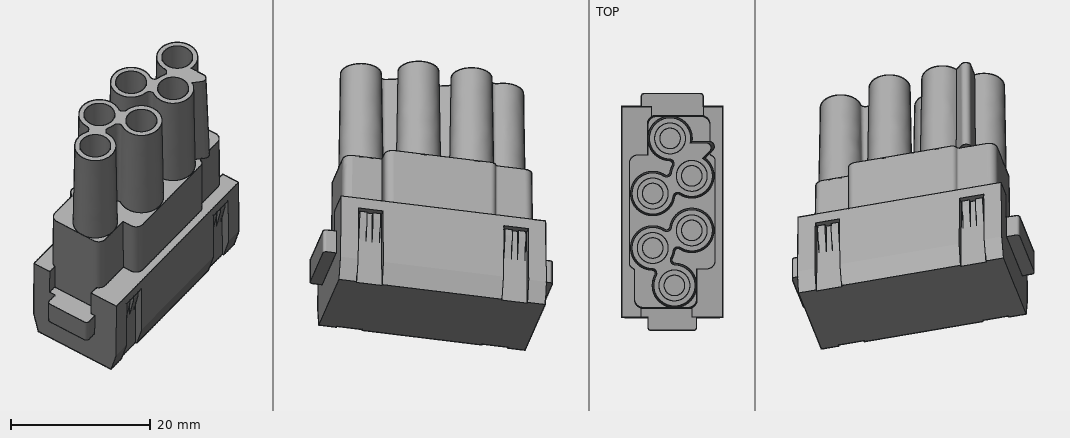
import cadquery as cq
import math

TAB_BOTTOM = 5.65
TAB_TOP = 9.35
HOUSING_TOP = 13.6
SHELF = 23.1
TOTAL_HEIGHT = 39.0

HOUSING_X = 14.6
HOUSING_Y_BOTTOM = 30.45
HOUSING_Y_TOP = 30.2
BEVEL_HEIGHT = 3.28
BEVEL_INSET = 0.85

TAB_SPAN_Y = 34.1
FRONT_TAB_WIDTH = 7.02
BACK_TAB_WIDTH = 8.97
TAB_CORNER = 0.45

FRONT_NOTCH = (-4.5, 2.8)
BACK_NOTCH = (-3.0, 4.5)

CORE_CORNER = 1.2
STEP_CORNER = 0.85
STEP_BLEND = 0.4
WIDE_X = 12.32
WIDE_Y = 16.38
END_LEFT = -5.42
END_RIGHT_TOP = 3.5
END_RIGHT_BOTTOM = 3.63
END_Y_TOP = 13.73
END_Y_BOTTOM = 13.9

TUBE_R_BASE = 3.2
TUBE_R_TOP = 2.95
BORE_R = 2.22
PILOT_R = 1.5
HALF_TUBES = [(-0.3, 10.55), (2.8, 5.2), (-2.8, 2.65)]
WEB_FILLET_TOP = 0.7
WEB_FILLET_BASE = WEB_FILLET_TOP - (TUBE_R_BASE - TUBE_R_TOP)

LUG_BACK_Y = 10.15
LUG_TIP_X = 7.1
LUG_ROUND = 0.75
LUG_DRAFT = 0.2

RECESS_Y = 10.72
RECESS_TOP = 11.95
RECESS_WIDTH_BOTTOM = 3.8
RECESS_WIDTH_TOP = 3.6
RECESS_DEPTH = 1.1
BARB_WIDTH = 1.1
BARB_SPACING = 2.0
BARB_HEIGHT = 0.7
BARB_BOTTOM = 7.18
BARB_RAMP_END = 10.6
BARB_TOP = 11.65


def half_turn(shape):
    """Copy of a shape turned 180 degrees about the Z axis."""
    return shape.rotate((0, 0, 0), (0, 0, 1), 180)


def box(x0, x1, y0, y1, z0, z1):
    block = cq.Workplane("XY").box(x1 - x0, y1 - y0, z1 - z0, centered=False)
    return block.translate((x0, y0, z0))


def rounded_rectangle(x0, x1, y0, y1, z, radius):
    corners = [cq.Vector(x, y, z) for x, y in [(x0, y0), (x1, y0), (x1, y1), (x0, y1)]]
    wire = cq.Wire.makePolygon(corners, close=True)
    return wire.fillet2D(radius, wire.Vertices())


def housing():
    side = [
        (-HOUSING_Y_BOTTOM / 2, 0),
        (HOUSING_Y_BOTTOM / 2, 0),
        (HOUSING_Y_TOP / 2, HOUSING_TOP),
        (-HOUSING_Y_TOP / 2, HOUSING_TOP),
    ]
    half_x = HOUSING_X / 2
    half_y = HOUSING_Y_BOTTOM / 2
    end = [
        (-half_x + BEVEL_INSET, 0),
        (half_x - BEVEL_INSET, 0),
        (half_x, BEVEL_HEIGHT),
        (half_x, HOUSING_TOP),
        (-half_x, HOUSING_TOP),
        (-half_x, BEVEL_HEIGHT),
    ]
    leaning = cq.Workplane("YZ").polyline(side).close().extrude(half_x, both=True)
    bevelled = cq.Workplane("XZ").polyline(end).close().extrude(half_y, both=True)
    front_notch = box(*FRONT_NOTCH, -half_y, 0, TAB_TOP, HOUSING_TOP)
    back_notch = box(*BACK_NOTCH, 0, half_y, TAB_TOP, HOUSING_TOP)
    return leaning.intersect(bevelled).cut(front_notch).cut(back_notch)


def end_tab(width, direction):
    """Latch tab on the front (direction -1) or back (+1) end, rounded at its outer corners."""
    length = TAB_SPAN_Y / 2
    tab = cq.Workplane("XY").box(width, length, TAB_TOP - TAB_BOTTOM, centered=(True, False, False))
    tab = tab.edges("|Z and >Y").fillet(TAB_CORNER).translate((0, 0, TAB_BOTTOM))
    return tab if direction > 0 else half_turn(tab)


def core():
    middle = cq.Workplane("XY").box(WIDE_X, WIDE_Y, SHELF - TAB_TOP, centered=(True, True, False))
    middle = middle.edges("|Z and (>(1, -1, 0) or <(1, -1, 0))").fillet(CORE_CORNER)
    middle = middle.edges("|Z and (>(1, 1, 0) or <(1, 1, 0))").fillet(STEP_CORNER)
    middle = middle.translate((0, 0, TAB_TOP))
    lower = rounded_rectangle(END_LEFT, END_RIGHT_BOTTOM, -END_Y_BOTTOM, 0, TAB_TOP, CORE_CORNER)
    upper = rounded_rectangle(END_LEFT, END_RIGHT_TOP, -END_Y_TOP, 0, SHELF, CORE_CORNER)
    front = cq.Workplane(cq.Solid.makeLoft([lower, upper], True))
    body = middle.union(front).union(half_turn(front))
    for side in (-1, 1):
        inner_corner = (side * END_LEFT, -side * WIDE_Y / 2, (TAB_TOP + SHELF) / 2)
        body = body.edges(cq.selectors.NearestToPointSelector(inner_corner)).fillet(STEP_BLEND)
    return body


def web_outline(a, b, z, tube_r, fillet_r):
    """Waisted outline joining tube centres a and b, tangent to both tubes on each flank."""
    start = cq.Vector(*a, z)
    end = cq.Vector(*b, z)
    middle = (start + end) * 0.5
    along = (end - start).normalized()
    across = cq.Vector(-along.y, along.x, 0)
    reach = tube_r + fillet_r
    offset = math.sqrt(reach ** 2 - ((end - start).Length / 2) ** 2)

    def flank(side):
        """Tangent point near a, waist point and tangent point near b."""
        centre = middle + across * (side * offset)
        waist = middle + across * (side * (offset - fillet_r))
        near_a = start + (centre - start).normalized() * tube_r
        near_b = end + (centre - end).normalized() * tube_r
        return near_a, waist, near_b

    left_a, left_waist, left_b = flank(1)
    right_a, right_waist, right_b = flank(-1)
    return cq.Wire.assembleEdges([
        cq.Edge.makeLine(start, left_a),
        cq.Edge.makeThreePointArc(left_a, left_waist, left_b),
        cq.Edge.makeLine(left_b, end),
        cq.Edge.makeLine(end, right_b),
        cq.Edge.makeThreePointArc(right_b, right_waist, right_a),
        cq.Edge.makeLine(right_a, start),
    ])


def web(a, b):
    base = web_outline(a, b, SHELF, TUBE_R_BASE, WEB_FILLET_BASE)
    top = web_outline(a, b, TOTAL_HEIGHT, TUBE_R_TOP, WEB_FILLET_TOP)
    return cq.Workplane(cq.Solid.makeLoft([base, top], True))


def tube(centre):
    foot = cq.Vector(*centre, SHELF)
    return cq.Workplane(cq.Solid.makeCone(TUBE_R_BASE, TUBE_R_TOP, TOTAL_HEIGHT - SHELF, foot))


def tube_group():
    """Three tubes of the back half and the webs between neighbours."""
    group = tube(HALF_TUBES[0])
    for inner, outer in zip(HALF_TUBES[1:], HALF_TUBES):
        group = group.union(tube(inner)).union(web(outer, inner))
    return group


def lug_outline(inset, z):
    """Triangle with a rounded tip, its two outer flanks moved inward by the inset."""
    outer_x = HALF_TUBES[0][0]
    inner_x = HALF_TUBES[1][0]
    back_y = LUG_BACK_Y - inset
    tip_x = LUG_TIP_X - inset * (1 + math.sqrt(2))
    flank_end_y = back_y - (tip_x - inner_x)
    points = [(outer_x, back_y), (tip_x, back_y), (inner_x, flank_end_y)]
    wire = cq.Wire.makePolygon([cq.Vector(x, y, z) for x, y in points], close=True)
    tip = max(wire.Vertices(), key=lambda vertex: vertex.X)
    return wire.fillet2D(LUG_ROUND, [tip])


def coding_lug():
    base = lug_outline(0, SHELF)
    top = lug_outline(LUG_DRAFT, TOTAL_HEIGHT)
    return cq.Workplane(cq.Solid.makeLoft([base, top], True))


def bores():
    points = HALF_TUBES + [(-x, -y) for x, y in HALF_TUBES]
    wide = cq.Workplane("XY", origin=(0, 0, SHELF)).pushPoints(points)
    wide = wide.circle(BORE_R).extrude(TOTAL_HEIGHT - SHELF)
    pilot = cq.Workplane("XY", origin=(0, 0, HOUSING_TOP)).pushPoints(points)
    pilot = pilot.circle(PILOT_R).extrude(SHELF - HOUSING_TOP)
    return wide.union(pilot)


def latch_cut(y):
    """Recess in the -X wall, open at the bottom, with two ramped barbs left standing."""
    wall = -HOUSING_X / 2
    floor = wall + RECESS_DEPTH
    face = [
        (y - RECESS_WIDTH_BOTTOM / 2, 0),
        (y + RECESS_WIDTH_BOTTOM / 2, 0),
        (y + RECESS_WIDTH_TOP / 2, RECESS_TOP),
        (y - RECESS_WIDTH_TOP / 2, RECESS_TOP),
    ]
    recess = cq.Workplane("YZ", origin=(wall, 0, 0)).polyline(face).close().extrude(RECESS_DEPTH)
    barb_profile = [
        (floor, BARB_BOTTOM),
        (floor - BARB_HEIGHT, BARB_RAMP_END),
        (floor - BARB_HEIGHT, BARB_TOP),
        (floor, BARB_TOP),
    ]
    for side in (-1, 1):
        barb_y = y + side * BARB_SPACING / 2
        barb = cq.Workplane("XZ", origin=(0, barb_y, 0)).polyline(barb_profile).close()
        recess = recess.cut(barb.extrude(BARB_WIDTH / 2, both=True))
    return recess


result = housing().union(core())
result = result.union(end_tab(FRONT_TAB_WIDTH, -1)).union(end_tab(BACK_TAB_WIDTH, 1))

tubes = tube_group()
result = result.union(tubes).union(half_turn(tubes)).union(coding_lug()).cut(bores())

for recess_y in (-RECESS_Y, RECESS_Y):
    recess = latch_cut(recess_y)
    result = result.cut(recess).cut(half_turn(recess))